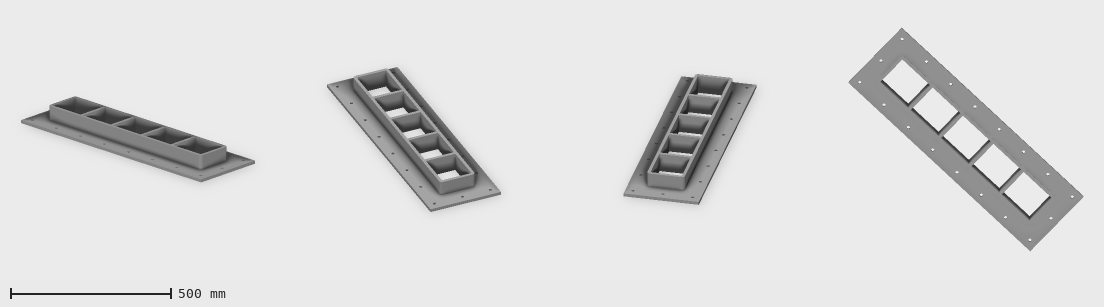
import cadquery as cq

plate_length = 782.5
plate_width = 241.0
plate_thickness = 10.0

total_height = 60.0
frame_drop = 2.0
wall = 10.0
corner_radius = 10.0
window_count = 5
window_length = 120.5
window_width = 100.0
window_pitch = window_length + wall
frame_length = window_count * window_pitch + wall
frame_width = window_width + 2 * wall

hole_diameter = 10.0
hole_edge_distance = 25.0
holes_per_row = 8
hole_span_x = plate_length - 2 * hole_edge_distance
hole_span_y = plate_width - 2 * hole_edge_distance


def make_plate():
    """Flat flange with its underside at Z = 0."""
    return cq.Workplane("XY").box(
        plate_length, plate_width, plate_thickness, centered=(True, True, False)
    )


def make_frame():
    """Solid frame block with rounded vertical corners."""
    return (
        cq.Workplane("XY", origin=(0, 0, -frame_drop))
        .rect(frame_length, frame_width)
        .extrude(total_height)
        .edges("|Z")
        .fillet(corner_radius)
    )


def make_windows():
    """Row of sharp-cornered rectangular cutters through the full height."""
    return (
        cq.Workplane("XY", origin=(0, 0, -frame_drop))
        .rarray(window_pitch, 8, window_count, 1)
        .rect(window_length, window_width)
        .extrude(total_height)
    )


def make_mounting_holes():
    """Cutters for the two long rows and the middle hole at each end."""
    long_rows = (
        cq.Workplane("XY")
        .rarray(hole_span_x / (holes_per_row - 1), hole_span_y, holes_per_row, 2)
        .circle(hole_diameter / 2)
        .extrude(plate_thickness)
    )
    end_holes = (
        cq.Workplane("XY")
        .rarray(hole_span_x, 8, 2, 1)
        .circle(hole_diameter / 2)
        .extrude(plate_thickness)
    )
    return long_rows.add(end_holes).combine()


result = make_plate().union(make_frame()).cut(make_windows()).cut(make_mounting_holes())